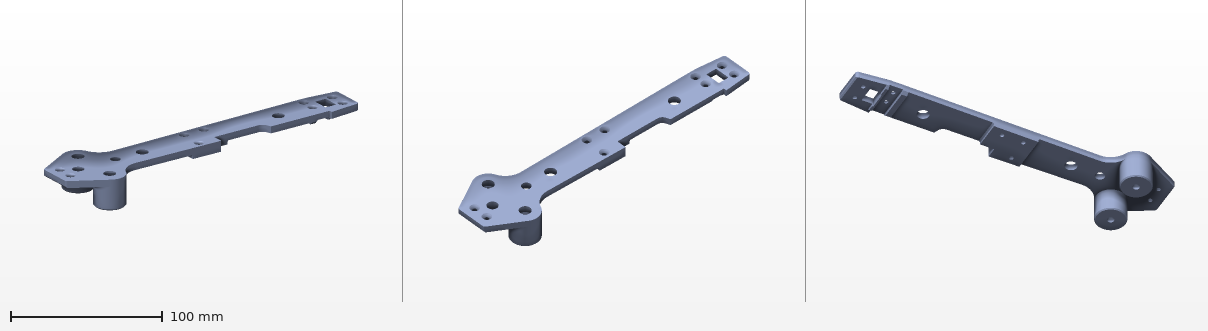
import cadquery as cq
import math

TOTAL_LENGTH = 236.4
TOTAL_WIDTH = 58.34
TOTAL_HEIGHT = 22.2
PLATE_THICKNESS = 5.0

BOSS_DIAMETER = 22.0
BOSS_RADIUS = BOSS_DIAMETER / 2
BOSS_X = TOTAL_WIDTH / 2 - BOSS_RADIUS
BOSS_Y = 31.6
BOSS_POINTS = [(-BOSS_X, BOSS_Y), (BOSS_X, BOSS_Y)]
BOSS_CHAMFER = 0.8
BOSS_BORE_DIAMETER = 4.9
BOSS_COUNTERBORE_DIAMETER = 8.6
BOSS_COUNTERBORE_DEPTH = 5.0

HUB_SIDE_ANGLE = 30.0
ARM_ROOT_HALF_WIDTH = 13.1
ARM_HALF_WIDTH = 15.0
ARM_BLEND_RADIUS = 15.0
TIP_HALF_WIDTH = 12.6
TIP_TAPER_Y = 212.9
ARM_TAPER_Y = 202.9
END_CORNER_RADIUS = 2.0
END_BOTTOM_CHAMFER = 1.0

SHALLOW_NOTCH_X = 12.5
DEEP_NOTCH_X = 6.1
DEEP_NOTCH_START_Y = 124.4
NOTCH_ARC_START_Y = 160.0
NOTCH_ARC_END = (9.0, 164.3)
NOTCH_ARC_MIDDLE = (7.1, 162.8)
DEEP_NOTCH_END_Y = 165.6

PAD_START_Y = 101.8
PAD_END_Y = 134.9
PAD_DROP = 2.8
PAD_ROOT_CHAMFER = 1.0
RECESS_DEPTH = 0.7
RIB_DROP = 2.1
FAR_RIB_WIDTH = 2.0
NEAR_RIB_WIDTH = 4.0

SCREW_DIAMETER = 3.2
SCREW_HEAD_DIAMETER = 7.0
SCREW_HEAD_ANGLE = 90.0
END_SCREW_X = 6.0
PAD_SCREW_X = 8.5
BROAD_END_SCREW_Y = 8.6
TIP_SCREW_Y = 228.0
PAD_SCREW_Y = 110.4
RECESS_SCREW_Y = 207.4
SCREW_POINTS = [
    (-END_SCREW_X, BROAD_END_SCREW_Y),
    (END_SCREW_X, BROAD_END_SCREW_Y),
    (-PAD_SCREW_X, PAD_SCREW_Y),
    (PAD_SCREW_X, PAD_SCREW_Y),
    (-PAD_SCREW_X, 126.2),
    (-9.2, RECESS_SCREW_Y),
    (0.8, RECESS_SCREW_Y),
    (-END_SCREW_X, TIP_SCREW_Y),
    (END_SCREW_X, TIP_SCREW_Y),
]
ROUND_HOLES = [(19.0, 8.0), (49.0, 7.0), (70.6, 8.6), (180.3, 8.6)]
WINDOW_WIDTH = 12.2
WINDOW_LENGTH = 8.6
WINDOW_Y = 218.5

SIDE_LEAN = math.radians(HUB_SIDE_ANGLE)
SIDE_X = BOSS_X + BOSS_RADIUS * math.cos(SIDE_LEAN)
SIDE_Y = BOSS_Y - BOSS_RADIUS * math.sin(SIDE_LEAN)
END_HALF_WIDTH = SIDE_X - SIDE_Y * math.tan(SIDE_LEAN)
HUB_FAR_X = BOSS_X + BOSS_RADIUS

BLEND_X = ARM_ROOT_HALF_WIDTH + ARM_BLEND_RADIUS
CENTRE_DISTANCE = ARM_BLEND_RADIUS + BOSS_RADIUS
BLEND_ANGLE = math.acos((BLEND_X - BOSS_X) / CENTRE_DISTANCE)
BLEND_Y = BOSS_Y + CENTRE_DISTANCE * math.sin(BLEND_ANGLE)
TOUCH_X = BOSS_X + BOSS_RADIUS * math.cos(BLEND_ANGLE)
TOUCH_Y = BOSS_Y + BOSS_RADIUS * math.sin(BLEND_ANGLE)
BLEND_MIDDLE_X = BLEND_X - ARM_BLEND_RADIUS * math.cos(BLEND_ANGLE / 2)
BLEND_MIDDLE_Y = BLEND_Y - ARM_BLEND_RADIUS * math.sin(BLEND_ANGLE / 2)


def make_outline():
    """Closed plate outline: the -X half and its mirror image."""
    return (
        cq.Workplane("XY")
        .moveTo(0, 0)
        .lineTo(-END_HALF_WIDTH, 0)
        .lineTo(-SIDE_X, SIDE_Y)
        .threePointArc((-HUB_FAR_X, BOSS_Y), (-TOUCH_X, TOUCH_Y))
        .threePointArc((-BLEND_MIDDLE_X, BLEND_MIDDLE_Y), (-ARM_ROOT_HALF_WIDTH, BLEND_Y))
        .lineTo(-ARM_HALF_WIDTH, ARM_TAPER_Y)
        .lineTo(-ARM_HALF_WIDTH, TIP_TAPER_Y)
        .lineTo(-TIP_HALF_WIDTH, TOTAL_LENGTH)
        .lineTo(0, TOTAL_LENGTH)
        .mirrorY()
    )


def make_side_profile():
    """Lengthwise section of the plate with the thicker pad, bevelled at pad roots and plate ends."""
    return (
        cq.Workplane("YZ")
        .moveTo(0, PLATE_THICKNESS)
        .lineTo(0, END_BOTTOM_CHAMFER)
        .lineTo(END_BOTTOM_CHAMFER, 0)
        .lineTo(PAD_START_Y - PAD_ROOT_CHAMFER, 0)
        .lineTo(PAD_START_Y, -PAD_ROOT_CHAMFER)
        .lineTo(PAD_START_Y, -PAD_DROP)
        .lineTo(PAD_END_Y, -PAD_DROP)
        .lineTo(PAD_END_Y, -PAD_ROOT_CHAMFER)
        .lineTo(PAD_END_Y + PAD_ROOT_CHAMFER, 0)
        .lineTo(TOTAL_LENGTH - END_BOTTOM_CHAMFER, 0)
        .lineTo(TOTAL_LENGTH, END_BOTTOM_CHAMFER)
        .lineTo(TOTAL_LENGTH, PLATE_THICKNESS)
        .close()
        .extrude(TOTAL_WIDTH, both=True)
    )


def make_plate():
    """Plate and pad with rounded end corners."""
    prism = make_outline().extrude(PLATE_THICKNESS + PAD_DROP).translate((0, 0, -PAD_DROP))
    prism = prism.faces("<Y or >Y").edges("|Z").fillet(END_CORNER_RADIUS)
    return prism.intersect(make_side_profile())


def make_side_notches():
    """Cutter for the two connected notches along the +X side."""
    outside_x = TOTAL_WIDTH
    return (
        cq.Workplane("XY", origin=(0, 0, -TOTAL_HEIGHT))
        .moveTo(outside_x, DEEP_NOTCH_START_Y)
        .lineTo(DEEP_NOTCH_X, DEEP_NOTCH_START_Y)
        .lineTo(DEEP_NOTCH_X, NOTCH_ARC_START_Y)
        .threePointArc(NOTCH_ARC_MIDDLE, NOTCH_ARC_END)
        .lineTo(SHALLOW_NOTCH_X, DEEP_NOTCH_END_Y)
        .lineTo(SHALLOW_NOTCH_X, TIP_TAPER_Y)
        .lineTo(outside_x, TIP_TAPER_Y)
        .close()
        .extrude(2 * TOTAL_HEIGHT)
    )


def make_rib(start_y, width):
    """Cross rib under the plate with ends sloping inward at 45 degrees."""
    left_x = -ARM_HALF_WIDTH
    right_x = SHALLOW_NOTCH_X
    return (
        cq.Workplane("XZ", origin=(0, start_y + width, 0))
        .moveTo(left_x, 0)
        .lineTo(left_x + RIB_DROP, -RIB_DROP)
        .lineTo(right_x - RIB_DROP, -RIB_DROP)
        .lineTo(right_x, 0)
        .close()
        .extrude(width)
    )


def make_recess():
    """Cutter for the shallow channel between the two ribs."""
    length = TIP_TAPER_Y - ARM_TAPER_Y
    return (
        cq.Workplane("XY", origin=(0, ARM_TAPER_Y + length / 2, 0))
        .rect(TOTAL_WIDTH, length)
        .extrude(RECESS_DEPTH)
    )


def make_boss():
    """Round boss below the plate on the -X side, sharing the plate's rim arc."""
    boss_drop = TOTAL_HEIGHT - PLATE_THICKNESS
    return (
        cq.Workplane("XY", origin=(0, 0, -boss_drop))
        .moveTo(-SIDE_X, SIDE_Y)
        .threePointArc((-HUB_FAR_X, BOSS_Y), (-TOUCH_X, TOUCH_Y))
        .threePointArc((BOSS_RADIUS - BOSS_X, BOSS_Y), (-SIDE_X, SIDE_Y))
        .close()
        .extrude(boss_drop)
        .faces("<Z")
        .edges()
        .chamfer(BOSS_CHAMFER)
    )


def drill_holes(body):
    """Screw holes, boss bores, round holes and the window."""
    top = cq.Workplane("XY", origin=(0, 0, PLATE_THICKNESS))
    screw_plane = body.faces(">Z").workplane(origin=(0, 0, 0))
    body = screw_plane.pushPoints(SCREW_POINTS).cskHole(
        SCREW_DIAMETER, SCREW_HEAD_DIAMETER, SCREW_HEAD_ANGLE
    )
    boss_plane = body.faces(">Z").workplane(origin=(0, 0, 0))
    body = boss_plane.pushPoints(BOSS_POINTS).cboreHole(
        BOSS_BORE_DIAMETER, BOSS_COUNTERBORE_DIAMETER, BOSS_COUNTERBORE_DEPTH
    )
    for hole_y, diameter in ROUND_HOLES:
        body = body.cut(top.center(0, hole_y).circle(diameter / 2).extrude(-TOTAL_HEIGHT))
    window = top.center(0, WINDOW_Y).rect(WINDOW_WIDTH, WINDOW_LENGTH)
    return body.cut(window.extrude(-TOTAL_HEIGHT))


def make_part():
    body = make_plate().cut(make_recess())
    body = body.union(make_rib(TIP_TAPER_Y, FAR_RIB_WIDTH))
    body = body.union(make_rib(ARM_TAPER_Y - NEAR_RIB_WIDTH, NEAR_RIB_WIDTH))
    body = body.cut(make_side_notches())
    boss = make_boss()
    body = body.union(boss).union(boss.mirror("YZ"))
    return drill_holes(body)


result = cq.Workplane(make_part().solids().val())